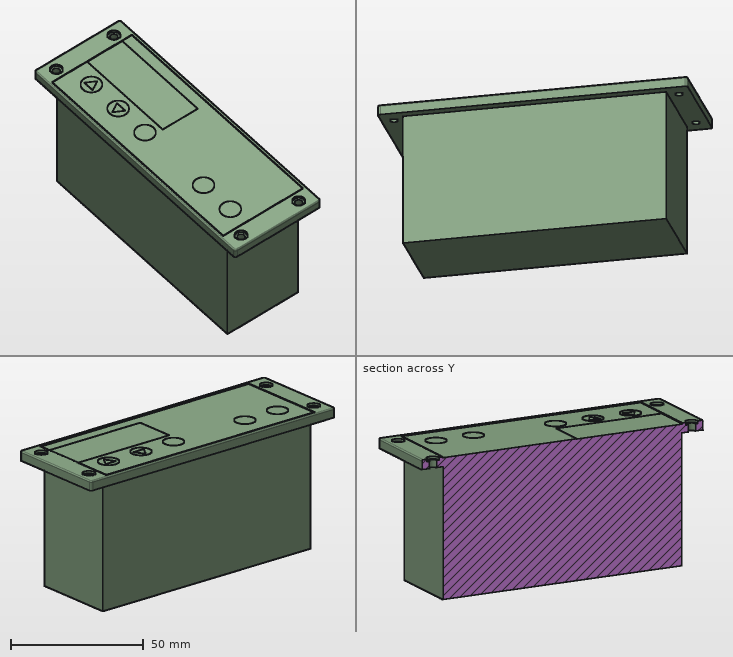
import cadquery as cq
import math

plate_length = 120.0
plate_width = 41.7
total_height = 56.0

plate_thickness = 4.0
plate_corner_radius = 1.0
plate_edge_round = 0.5

body_length = 102.0
body_width = 34.4
body_height = total_height - plate_thickness

label_length = 102.2
label_width = 38.8
label_depth = 0.3

window_right = -6.0
window_bottom = -2.3
window_width = 17.0
window_left = -label_length / 2

mark_depth = 0.1

button_diameter = 8.2
button_y = -8.5
up_button_x = -41.0
button_pitch = 16.0
down_button_x = up_button_x + button_pitch
set_button_x = down_button_x + button_pitch
power_button_x = 42.0
blank_button_x = power_button_x - button_pitch
button_centers_x = (up_button_x, down_button_x, set_button_x, blank_button_x, power_button_x)
arrow_side = 5.0

hole_diameter = 3.0
counterbore_diameter = 5.0
counterbore_depth = 1.0
hole_spacing_x = 110.4
hole_spacing_y = 28.0


def make_plate():
    """Front plate with rounded corners and a rounded top edge."""
    plate = cq.Workplane("XY").box(plate_length, plate_width, plate_thickness, centered=(True, True, False))
    plate = plate.translate((0, 0, -plate_thickness))
    plate = plate.edges("|Z").fillet(plate_corner_radius)
    return plate.faces(">Z").edges().fillet(plate_edge_round)


def make_body():
    """Plain rectangular housing hanging below the plate."""
    body = cq.Workplane("XY").box(body_length, body_width, body_height, centered=(True, True, False))
    return body.translate((0, 0, -total_height))


def cut_mounting_holes(part):
    """Counterbored through holes near the four plate corners."""
    return (
        part.faces(">Z")
        .workplane(origin=(0, 0, 0))
        .rect(hole_spacing_x, hole_spacing_y, forConstruction=True)
        .vertices()
        .cboreHole(hole_diameter, counterbore_diameter, counterbore_depth, depth=plate_thickness)
    )


def label_recess():
    """Shallow rectangular volume that holds the label."""
    return cq.Workplane("XY").rect(label_length, label_width).extrude(-label_depth)


def display_window():
    """Shallow rectangle below the label face."""
    length = window_right - window_left
    return (
        cq.Workplane("XY", origin=(window_left, window_bottom, -label_depth))
        .rect(length, window_width, centered=False)
        .extrude(-mark_depth)
    )


def buttons():
    """Shallow round buttons below the label face."""
    centers = [(x, button_y) for x in button_centers_x]
    return (
        cq.Workplane("XY", origin=(0, 0, -label_depth))
        .pushPoints(centers)
        .circle(button_diameter / 2)
        .extrude(-mark_depth)
    )


def arrow(center_x, direction):
    """Equilateral triangle below a button face; direction is 1 for up, -1 for down."""
    tip_radius = arrow_side / math.sqrt(3)
    base_y = -direction * tip_radius / 2
    return (
        cq.Workplane("XY", origin=(center_x, button_y, -label_depth - mark_depth))
        .polyline([(-arrow_side / 2, base_y), (arrow_side / 2, base_y), (0, direction * tip_radius)])
        .close()
        .extrude(-mark_depth)
    )


result = make_plate().union(make_body())
result = cut_mounting_holes(result)
result = result.cut(label_recess())
result = result.cut(display_window())
result = result.cut(buttons())
result = result.cut(arrow(up_button_x, 1))
result = result.cut(arrow(down_button_x, -1))